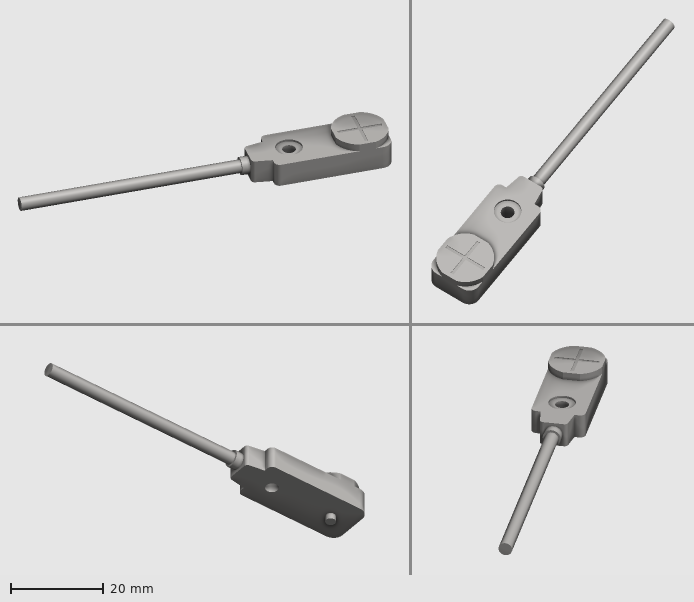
import cadquery as cq

total_length = 83.1
housing_width = 12.0
housing_length = 26.8
housing_height = 5.5
rear_corner_radius = 2.5
front_corner_radius = 1.25

disc_diameter = 12.55
disc_height = 1.75
disc_center_y = -housing_width / 2
cross_length = 10.0
cross_width = 0.75
cross_depth = 0.2

hole_center_y = -22.0
hole_diameter = 3.0
counterbore_diameter = 6.0
counterbore_depth = 0.5

neck_length = 4.5
neck_base_width = 7.5
neck_tip_width = 6.0
neck_corner_radius = 0.8
sleeve_length = 1.8
sleeve_diameter = 4.0
cable_diameter = 3.0
cable_center_z = housing_height / 2

pin_length = 1.5
pin_diameter = 2.3

neck_tip_y = -housing_length - neck_length
sleeve_end_y = neck_tip_y - sleeve_length


def make_housing():
    block = cq.Workplane("XY").box(
        housing_width, housing_length, housing_height, centered=(True, False, False)
    ).translate((0, -housing_length, 0))
    block = block.edges("|Z and >Y").fillet(rear_corner_radius)
    return block.edges("|Z and <Y").fillet(front_corner_radius)


def make_neck():
    neck = (
        cq.Workplane("XY")
        .moveTo(-neck_base_width / 2, -housing_length)
        .lineTo(neck_base_width / 2, -housing_length)
        .lineTo(neck_tip_width / 2, neck_tip_y)
        .lineTo(-neck_tip_width / 2, neck_tip_y)
        .close()
        .extrude(housing_height)
    )
    return neck.edges("|Z and <Y").fillet(neck_corner_radius)


def make_disc():
    top_plane = cq.Workplane("XY", origin=(0, disc_center_y, housing_height))
    disc = top_plane.circle(disc_diameter / 2).extrude(disc_height)
    return disc.intersect(top_plane.rect(housing_width, housing_width).extrude(disc_height))


def make_cross():
    floor_z = housing_height + disc_height - cross_depth
    floor = cq.Workplane("XY", origin=(0, disc_center_y, floor_z))
    bar = floor.rect(cross_length, cross_width).extrude(cross_depth)
    return bar.union(floor.rect(cross_width, cross_length).extrude(cross_depth))


def cable_rod(diameter, start_y, end_y):
    plane = cq.Workplane("XZ", origin=(0, start_y, cable_center_z))
    return plane.circle(diameter / 2).extrude(start_y - end_y)


def make_pin():
    base = cq.Workplane("XY", origin=(0, disc_center_y, -pin_length))
    return base.circle(pin_diameter / 2).extrude(pin_length)


sleeve = cable_rod(sleeve_diameter, neck_tip_y, sleeve_end_y)
cable = cable_rod(cable_diameter, neck_tip_y, -total_length)

result = make_housing().union(make_neck()).union(make_disc()).cut(make_cross())
result = result.union(sleeve).union(cable).union(make_pin())
result = (
    result.copyWorkplane(cq.Workplane("XY", origin=(0, hole_center_y, housing_height)))
    .cboreHole(hole_diameter, counterbore_diameter, counterbore_depth)
)